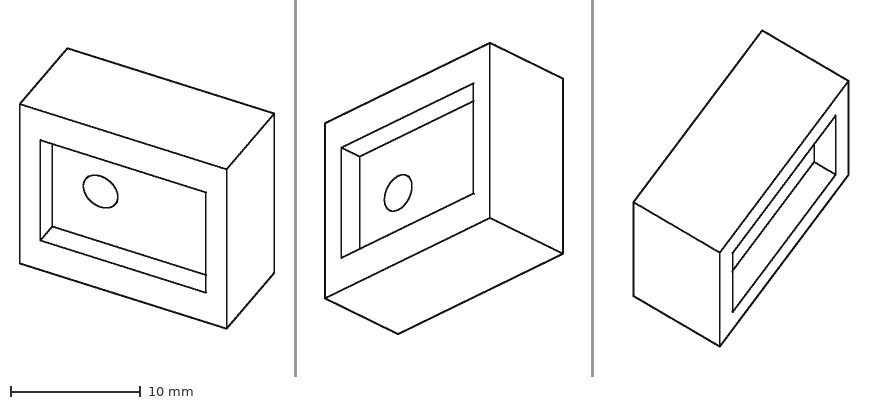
import cadquery as cq

width = 18.0
depth = 8.0
height = 15.5

pocket_width = 14.4
pocket_height = 9.75
pocket_depth = 2.0

hole_diameter = 3.0
hole_from_left_side = 6.0


def make_block():
    """Plain block centred on the origin."""
    return cq.Workplane("XY").box(width, depth, height)


def make_pocket():
    """Solid to remove for the pocket, reaching in from the -Y face."""
    pocket_center_y = (pocket_depth - depth) / 2
    return (
        cq.Workplane("XY")
        .box(pocket_width, pocket_depth, pocket_height)
        .translate((0, pocket_center_y, 0))
    )


def make_hole():
    """Cylinder to remove for the hole, at mid-height along the full Y depth."""
    hole_x = hole_from_left_side - width / 2
    return (
        cq.Workplane("XZ")
        .center(hole_x, 0)
        .circle(hole_diameter / 2)
        .extrude(depth / 2, both=True)
    )


result = make_block().cut(make_pocket()).cut(make_hole())